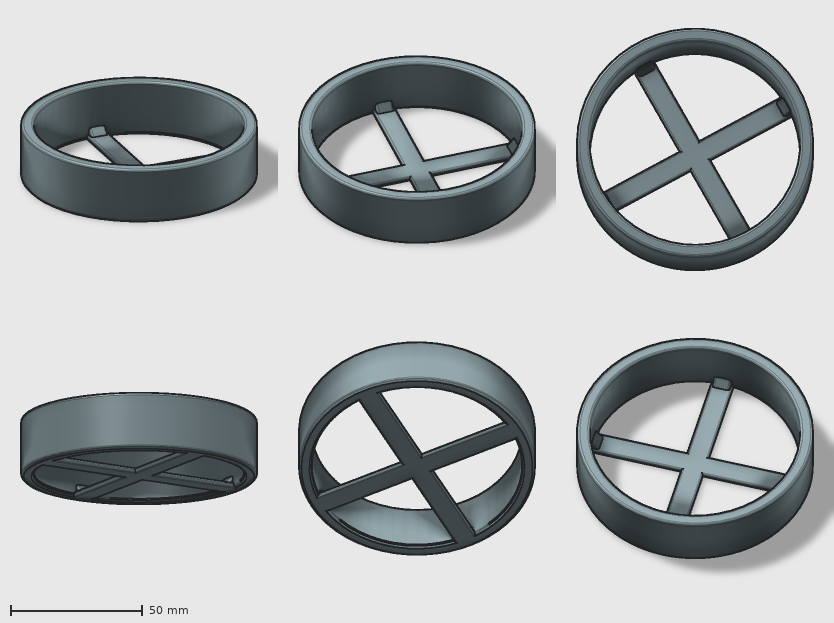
import cadquery as cq

outer_diameter = 90.0
inner_diameter = 80.0
ring_height = 22.0
rim_fillet = 1.0
base_chamfer = 1.0
base_edge_fillet = 0.8

spoke_width = 8.55
spoke_thickness = 2.0
spoke_fillet = 0.7

gusset_run = 3.0
gusset_rise = 3.0
gusset_width = 6.9
gusset_fillet = 0.9

inner_radius = inner_diameter / 2
wall_thickness = (outer_diameter - inner_diameter) / 2
wall_middle = inner_radius + wall_thickness / 2


def make_ring():
    """Ring with a rounded top rim and softened chamfers around both base edges."""
    ring = cq.Workplane("XY").circle(outer_diameter / 2).circle(inner_radius).extrude(ring_height)
    ring = ring.faces("<Z").chamfer(base_chamfer)
    base_shoulders = cq.selectors.BoxSelector(
        (-outer_diameter, -outer_diameter, base_chamfer / 2),
        (outer_diameter, outer_diameter, base_chamfer * 2),
        boundingbox=True,
    )
    ring = ring.edges(base_shoulders).fillet(base_edge_fillet)
    return ring.faces(">Z").edges().fillet(rim_fillet)


def make_cross():
    """Two crossing spokes with rounded long edges, ending inside the ring wall."""
    length = 2 * wall_middle
    along_x = cq.Workplane("XY").box(length, spoke_width, spoke_thickness, centered=(True, True, False))
    along_x = along_x.edges("|X").fillet(spoke_fillet)
    return along_x.union(along_x.rotate((0, 0, 0), (0, 0, 1), 90))


def make_gusset():
    """Wedge on the +X spoke, sloping up to the wall, with rounded sloped edges."""
    toe = inner_radius - gusset_run
    gusset_top = spoke_thickness + gusset_rise
    wedge = (
        cq.Workplane("XZ")
        .moveTo(toe, spoke_thickness)
        .lineTo(inner_radius, gusset_top)
        .lineTo(wall_middle, gusset_top)
        .lineTo(wall_middle, spoke_thickness)
        .close()
        .extrude(gusset_width / 2, both=True)
    )
    return wedge.edges("not(|X or |Y or |Z)").fillet(gusset_fillet)


result = make_ring().union(make_cross())
gusset = make_gusset()
for quarter in range(4):
    result = result.union(gusset.rotate((0, 0, 0), (0, 0, 1), 90 * quarter))